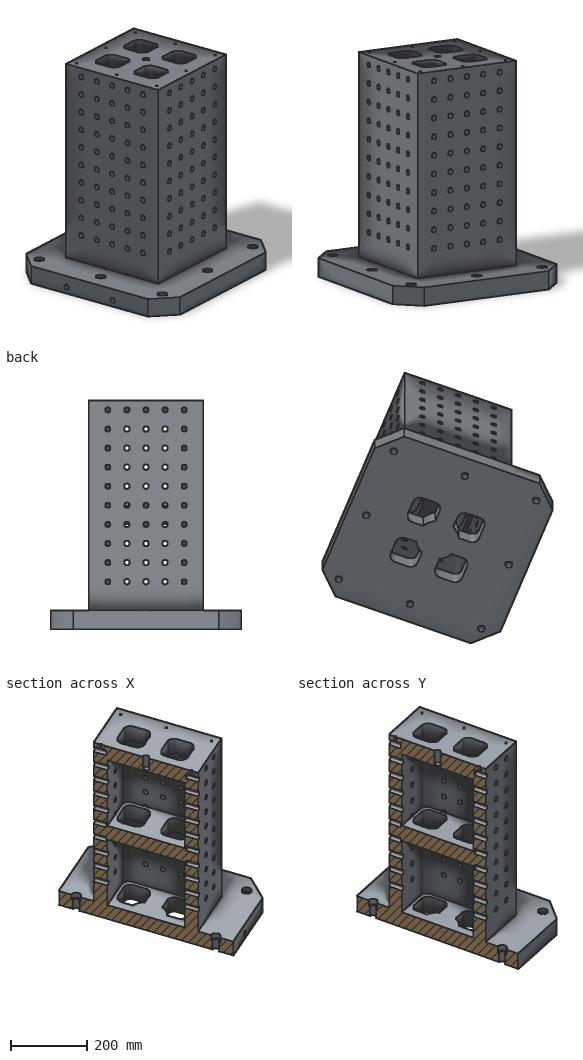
import cadquery as cq
import math

BASE_SIDE = 500.0
BASE_THICKNESS = 50.0
BASE_CORNER_CHAMFER = 60.0

TOTAL_HEIGHT = 600.0
COLUMN_SIDE = 300.0
WALL = 40.0
CAVITY_SIDE = COLUMN_SIDE - 2 * WALL
CAVITY_CORNER_RADIUS = 20.0

PLATE_THICKNESS = BASE_THICKNESS
CAVITY_HEIGHT = (TOTAL_HEIGHT - 3 * PLATE_THICKNESS) / 2
MIDDLE_Z = TOTAL_HEIGHT / 2

WINDOW_SIDE = 75.0
WEB_WIDTH = 50.0
WINDOW_CENTER = (WEB_WIDTH + WINDOW_SIDE) / 2
WINDOW_CORNER_RADIUS = 20.0

HUB_DIAMETER = 111.0

GRID_DIAMETER = 13.84
GRID_PITCH = 50.0
GRID_COLUMNS = 5
GRID_ROWS = 10
GRID_TOP_MARGIN = 25.0
GRID_BLIND_DEPTH = 35.0

MOUNT_DIAMETER = 18.0
MOUNT_BORE_DIAMETER = 26.0
MOUNT_BORE_DEPTH = 17.5
MOUNT_OFFSET = 200.0

DRILL_TIP_ANGLE = 118.0
CENTER_DIAMETER = 17.5
CENTER_DEPTH = 40.0
CAP_HOLE_DIAMETER = 5.0
CAP_HOLE_DEPTH = 15.0
CAP_HOLE_OFFSET = 130.0
EDGE_HOLE_DIAMETER = 14.0
EDGE_HOLE_DEPTH = 30.0
EDGE_HOLE_OFFSET = 75.0
EDGE_HOLE_Z = 18.0

UP = cq.Vector(0, 0, 1)


def square_prism(side, bottom, top):
    """Upright square prism centred on the Z axis."""
    return cq.Workplane("XY").workplane(offset=bottom).rect(side, side).extrude(top - bottom)


def bored(diameter, depth, start, direction):
    """Flat-ended cylinder running from a start point along a direction."""
    return cq.Solid.makeCylinder(diameter / 2, depth, cq.Vector(*start), direction)


def drilled(diameter, depth, start, direction):
    """Cylinder with a conical drill tip beyond its full-diameter depth."""
    radius = diameter / 2
    tip_length = radius / math.tan(math.radians(DRILL_TIP_ANGLE / 2))
    tip_start = cq.Vector(*start) + direction * depth
    tip = cq.Solid.makeCone(radius, 0, tip_length, tip_start, direction)
    return bored(diameter, depth, start, direction).fuse(tip)


def square_ring(offset):
    """Corners and edge midpoints of a square centred on the origin."""
    steps = (-offset, 0, offset)
    return [(x, y) for x in steps for y in steps if (x, y) != (0, 0)]


def make_blank():
    """Solid column on its base plate with cut-off corners."""
    base = square_prism(BASE_SIDE, 0, BASE_THICKNESS).edges("|Z").chamfer(BASE_CORNER_CHAMFER)
    return base.union(square_prism(COLUMN_SIDE, 0, TOTAL_HEIGHT))


def make_cavity(bottom):
    """One closed cavity between two plates."""
    cavity = square_prism(CAVITY_SIDE, bottom, bottom + CAVITY_HEIGHT)
    return cavity.edges("|Z").fillet(CAVITY_CORNER_RADIUS)


def make_windows():
    """Four rounded openings through all plates, notched by the hub in the floor."""
    signs = (-1, 1)
    centers = [(sx * WINDOW_CENTER, sy * WINDOW_CENTER) for sx in signs for sy in signs]
    level = cq.Workplane("XY").pushPoints(centers)
    openings = level.rect(WINDOW_SIDE, WINDOW_SIDE).extrude(TOTAL_HEIGHT)
    openings = openings.edges("|Z").fillet(WINDOW_CORNER_RADIUS)
    hub = cq.Workplane("XY").circle(HUB_DIAMETER / 2).extrude(PLATE_THICKNESS)
    return openings.cut(hub)


def grid_depth(across, z):
    """Holes break into a cavity unless a corner, the cap or the middle web lies behind them."""
    radius = GRID_DIAMETER / 2
    behind_corner = abs(across) + radius > CAVITY_SIDE / 2 - radius
    behind_cap = z + radius > TOTAL_HEIGHT - PLATE_THICKNESS
    behind_middle_web = across == 0 and abs(z - MIDDLE_Z) < PLATE_THICKNESS / 2 + radius
    if behind_corner or behind_cap or behind_middle_web:
        return GRID_BLIND_DEPTH
    return WALL


def make_grid_holes():
    """The same grid of holes on all four sides of the column."""
    face = COLUMN_SIDE / 2
    holes = []
    for row in range(GRID_ROWS):
        z = TOTAL_HEIGHT - GRID_TOP_MARGIN - row * GRID_PITCH
        for column in range(GRID_COLUMNS):
            across = (column - (GRID_COLUMNS - 1) / 2) * GRID_PITCH
            depth = grid_depth(across, z)
            for side in (-1, 1):
                inward_x = cq.Vector(-side, 0, 0)
                inward_y = cq.Vector(0, -side, 0)
                holes.append(bored(GRID_DIAMETER, depth, (side * face, across, z), inward_x))
                holes.append(bored(GRID_DIAMETER, depth, (across, side * face, z), inward_y))
    return holes


def make_mount_holes():
    """Through holes in the base, counterbored from above."""
    holes = []
    for x, y in square_ring(MOUNT_OFFSET):
        holes.append(bored(MOUNT_DIAMETER, BASE_THICKNESS, (x, y, 0), UP))
        holes.append(bored(MOUNT_BORE_DIAMETER, MOUNT_BORE_DEPTH, (x, y, BASE_THICKNESS), -UP))
    return holes


def make_cap_holes():
    """Central drilled hole and the ring of small holes around the cap."""
    holes = [drilled(CENTER_DIAMETER, CENTER_DEPTH, (0, 0, TOTAL_HEIGHT), -UP)]
    for x, y in square_ring(CAP_HOLE_OFFSET):
        holes.append(drilled(CAP_HOLE_DIAMETER, CAP_HOLE_DEPTH, (x, y, TOTAL_HEIGHT), -UP))
    return holes


def make_edge_holes():
    """Two drilled holes in the front edge of the base."""
    inward = cq.Vector(0, 1, 0)
    front = -BASE_SIDE / 2
    positions = (-EDGE_HOLE_OFFSET, EDGE_HOLE_OFFSET)
    return [drilled(EDGE_HOLE_DIAMETER, EDGE_HOLE_DEPTH, (x, front, EDGE_HOLE_Z), inward) for x in positions]


body = make_blank().cut(make_windows())
for cavity_bottom in (PLATE_THICKNESS, MIDDLE_Z + PLATE_THICKNESS / 2):
    body = body.cut(make_cavity(cavity_bottom))
holes = make_grid_holes() + make_mount_holes() + make_cap_holes() + make_edge_holes()
result = cq.Workplane(obj=body.val().cut(*holes))